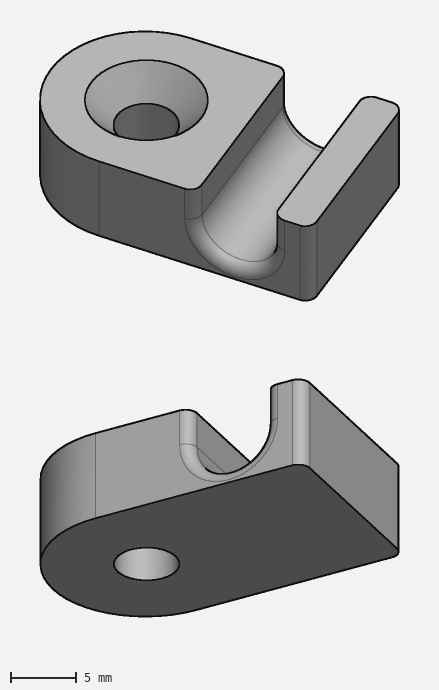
import cadquery as cq

length = 26.0
width = 16.0
height = 7.5
end_radius = width / 2
edge_round = 1.0

hole_x = 8.1
hole_diameter = 5.0
countersink_diameter = 9.35
countersink_depth = 2.5

channel_x = 19.5
channel_width = 6.5
channel_radius = channel_width / 2
channel_axis_z = 4.5


def make_body():
    """Block with a semicircular end and small rounds on the square end."""
    body = (
        cq.Workplane("XY")
        .moveTo(end_radius, -width / 2)
        .lineTo(length, -width / 2)
        .lineTo(length, width / 2)
        .lineTo(end_radius, width / 2)
        .threePointArc((0, 0), (end_radius, -width / 2))
        .close()
        .extrude(height)
    )
    return body.faces(">X").edges("|Z").fillet(edge_round)


def channel_section(y, radius):
    """U outline, open at the top face, on the plane at the given Y."""
    return (
        cq.Workplane("XZ", origin=(channel_x, y, 0))
        .moveTo(-radius, height)
        .lineTo(-radius, channel_axis_z)
        .threePointArc((0, channel_axis_z - radius), (radius, channel_axis_z))
        .lineTo(radius, height)
        .close()
    )


def cut_channel(body):
    """Cut the channel and round its mouth at both sides of the block."""
    cut = body.cut(channel_section(width / 2, channel_radius).extrude(width))
    margin = 0.03
    reach = channel_radius + margin
    for y in (-width / 2, width / 2):
        mouth = cq.selectors.BoxSelector(
            (channel_x - reach, y - margin, channel_axis_z - reach),
            (channel_x + reach, y + margin, height - margin),
        )
        cut = cut.edges(mouth).fillet(edge_round)
    return cut


def make_screw_hole():
    """Through hole with a conical countersink in the top face."""
    hole_radius = hole_diameter / 2
    return (
        cq.Workplane("XZ", origin=(hole_x, 0, 0))
        .moveTo(0, 0)
        .lineTo(hole_radius, 0)
        .lineTo(hole_radius, height - countersink_depth)
        .lineTo(countersink_diameter / 2, height)
        .lineTo(0, height)
        .close()
        .revolve(360, (0, 0, 0), (0, 1, 0))
    )


result = cut_channel(make_body()).cut(make_screw_hole())